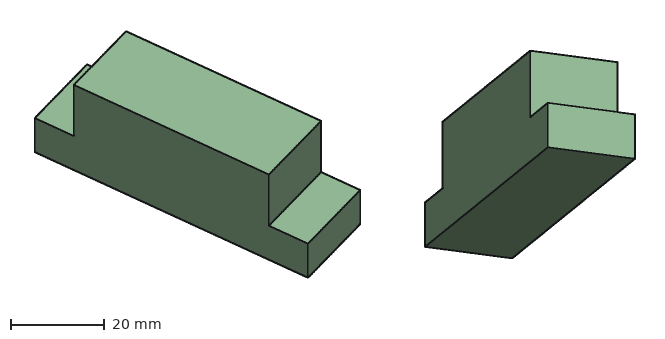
import cadquery as cq

base_length = 70.0
width = 20.0
total_height = 25.0
base_height = 10.0
end_ledge = 10.0

block_length = base_length - 2 * end_ledge
block_height = total_height - base_height

base = cq.Workplane("XY").box(base_length, width, base_height, centered=(True, True, False))

block = (
    cq.Workplane("XY")
    .workplane(offset=base_height)
    .box(block_length, width, block_height, centered=(True, True, False))
)

result = base.union(block).clean()